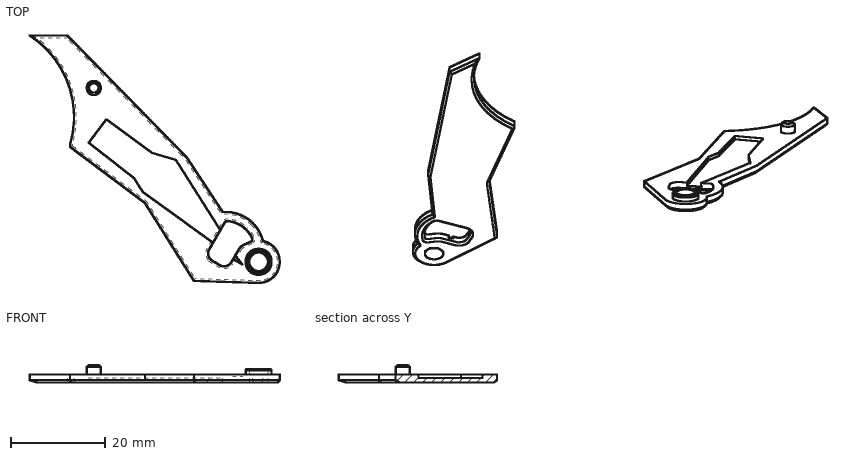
import cadquery as cq
import math


PLATE_THICKNESS = 1.75
PIN_TOP = 3.75
COLLAR_TOP = 2.9
UNDERSIDE_CHAMFER = 0.5

TAIL_RADIUS = 4.5
BLADE_TIP = (-48.46, 47.92)
BLADE_BACK = (-40.49, BLADE_TIP[1])
BACK_BEND = (-15.16, 22.06)
GUARD_START = (-7.61, 10.58)
GUARD_CENTRE = (-7.03, 2.36)
GUARD_OUTER_RADIUS = math.dist(GUARD_START, GUARD_CENTRE)
HEEL = (-13.7, -4.07)
BELLY_BEND = (-24.08, 12.44)
BLADE_CORNER = (-40.06, 24.41)
EDGE_ARC_CENTRE_Y = 30.66
BLADE_CORNER_RADIUS = 0.6

GUARD_WIDTH = 2.0
WINDOW_ANGLE = 60.0
WINDOW_FRONT_OFFSET = -10.35
WINDOW_REAR_OFFSET = -4.95
WINDOW_BOTTOM = -4.7
WINDOW_REAR_BEND = 0.92
WINDOW_SHOULDER_SLOPE = 25.0
WINDOW_BOTTOM_RADIUS = 1.8
WINDOW_BEND_RADIUS = 2.3
WINDOW_TOP_RADIUS = 0.55

POCKET_DEPTH = 0.75
POCKET_OUTLINE = [
    (-32.23, 30.16),
    (-22.56, 23.06),
    (-17.51, 21.56),
    (-8.2, 6.86),
    (-7.46, 5.46),
    (-8.96, 3.56),
    (-9.71, 4.09),
    (-24.51, 14.77),
    (-26.36, 17.71),
    (-35.96, 25.2),
]

NOTCH_DEPTH = 0.5
NOTCH_OUTLINE = [(-5.06, 1.46), (-3.41, -0.59), (-5.56, 0.66)]

PIN_CENTRE = (-34.89, 36.8)
PIN_DIAMETER = 3.0
PIN_CHAMFER = 0.5
COLLAR_DIAMETER = 5.54
COLLAR_CHAMFER = 0.3
PIVOT_HOLE_DIAMETER = 3.94


def point_on_circle(centre, radius, angle):
    return (centre[0] + radius * math.cos(angle), centre[1] + radius * math.sin(angle))


def angle_from(centre, point):
    return math.atan2(point[1] - centre[1], point[0] - centre[0])


def circle_meeting(centre_a, radius_a, centre_b, radius_b):
    """Crossing of two circles that lies to the left when going from centre a to centre b."""
    distance = math.dist(centre_a, centre_b)
    along = (radius_a**2 - radius_b**2 + distance**2) / (2 * distance)
    turn = math.acos(along / radius_a)
    return point_on_circle(centre_a, radius_a, angle_from(centre_a, centre_b) + turn)


def arc_middle(centre, start, end):
    """Point halfway along the shorter arc from start to end."""
    half_way = ((start[0] + end[0]) / 2, (start[1] + end[1]) / 2)
    return point_on_circle(centre, math.dist(centre, start), angle_from(centre, half_way))


def edge_arc_centre():
    """Centre of the concave cutting edge, equally far from both ends of the edge."""
    (x1, y1), (x2, y2) = BLADE_TIP, BLADE_CORNER
    y_term = (y1 - EDGE_ARC_CENTRE_Y) ** 2 - (y2 - EDGE_ARC_CENTRE_Y) ** 2
    return ((x1 + x2) / 2 + y_term / (2 * (x1 - x2)), EDGE_ARC_CENTRE_Y)


def fillet_upright_edge(body, corner, radius):
    nearest = cq.selectors.NearestToPointSelector((*corner, PLATE_THICKNESS / 2))
    return body.edges("|Z").edges(nearest).fillet(radius)


def make_plate():
    tail_centre = (0, 0)
    guard_end = circle_meeting(GUARD_CENTRE, GUARD_OUTER_RADIUS, tail_centre, TAIL_RADIUS)
    heel_angle = angle_from(tail_centre, HEEL)
    tangent_turn = math.acos(TAIL_RADIUS / math.dist(tail_centre, HEEL))
    tail_end = point_on_circle(tail_centre, TAIL_RADIUS, heel_angle + tangent_turn)
    tail_middle = point_on_circle(tail_centre, TAIL_RADIUS, 0)
    plate = (
        cq.Workplane("XY")
        .moveTo(*BLADE_TIP)
        .lineTo(*BLADE_BACK)
        .lineTo(*BACK_BEND)
        .lineTo(*GUARD_START)
        .threePointArc(arc_middle(GUARD_CENTRE, GUARD_START, guard_end), guard_end)
        .threePointArc(tail_middle, tail_end)
        .lineTo(*HEEL)
        .lineTo(*BELLY_BEND)
        .lineTo(*BLADE_CORNER)
        .threePointArc(arc_middle(edge_arc_centre(), BLADE_CORNER, BLADE_TIP), BLADE_TIP)
        .close()
        .extrude(PLATE_THICKNESS)
    )
    return fillet_upright_edge(plate, BLADE_CORNER, BLADE_CORNER_RADIUS)


def window_point(along, across):
    """Point given by distances along and across the window's slanted sides."""
    slant = math.radians(WINDOW_ANGLE)
    x = along * math.cos(slant) + across * math.sin(slant)
    y = along * math.sin(slant) - across * math.cos(slant)
    return (x, y)


def line_to_circle(start, angle, centre, radius):
    """Point where a ray from inside a circle leaves it."""
    dx, dy = start[0] - centre[0], start[1] - centre[1]
    forward = dx * math.cos(angle) + dy * math.sin(angle)
    reach = -forward + math.sqrt(forward**2 - dx**2 - dy**2 + radius**2)
    return point_on_circle(start, reach, angle)


def make_window():
    inner_radius = GUARD_OUTER_RADIUS - GUARD_WIDTH
    bottom_front = window_point(WINDOW_BOTTOM, WINDOW_FRONT_OFFSET)
    bottom_rear = window_point(WINDOW_BOTTOM, WINDOW_REAR_OFFSET)
    rear_bend = window_point(WINDOW_REAR_BEND, WINDOW_REAR_OFFSET)
    front_middle = window_point(0, WINDOW_FRONT_OFFSET)
    top_front = line_to_circle(front_middle, math.radians(WINDOW_ANGLE), GUARD_CENTRE, inner_radius)
    top_rear = line_to_circle(rear_bend, math.radians(WINDOW_SHOULDER_SLOPE), GUARD_CENTRE, inner_radius)
    window = (
        cq.Workplane("XY")
        .moveTo(*bottom_front)
        .lineTo(*bottom_rear)
        .lineTo(*rear_bend)
        .lineTo(*top_rear)
        .threePointArc(arc_middle(GUARD_CENTRE, top_rear, top_front), top_front)
        .close()
        .extrude(PLATE_THICKNESS)
    )
    corner_radii = [
        (bottom_front, WINDOW_BOTTOM_RADIUS),
        (bottom_rear, WINDOW_BOTTOM_RADIUS),
        (rear_bend, WINDOW_BEND_RADIUS),
        (top_rear, WINDOW_TOP_RADIUS),
        (top_front, WINDOW_TOP_RADIUS),
    ]
    for corner, radius in corner_radii:
        window = fillet_upright_edge(window, corner, radius)
    return window


def make_top_recess(outline, depth):
    floor = cq.Workplane("XY").workplane(offset=PLATE_THICKNESS - depth)
    return floor.polyline(outline).close().extrude(depth)


def make_post(centre, diameter, top, chamfer):
    """Round post rooted at mid-thickness of the plate, with a chamfered top rim."""
    root = PLATE_THICKNESS / 2
    post = cq.Workplane("XY").workplane(offset=root).center(*centre)
    post = post.circle(diameter / 2).extrude(top - root)
    return post.faces(">Z").chamfer(chamfer)


pin = make_post(PIN_CENTRE, PIN_DIAMETER, PIN_TOP, PIN_CHAMFER)
collar = make_post((0, 0), COLLAR_DIAMETER, COLLAR_TOP, COLLAR_CHAMFER)
pivot_hole = cq.Workplane("XY").circle(PIVOT_HOLE_DIAMETER / 2).extrude(COLLAR_TOP)

plate = make_plate().cut(make_window()).faces("<Z").chamfer(UNDERSIDE_CHAMFER)

result = (
    plate
    .cut(make_top_recess(POCKET_OUTLINE, POCKET_DEPTH))
    .cut(make_top_recess(NOTCH_OUTLINE, NOTCH_DEPTH))
    .union(pin)
    .union(collar)
    .cut(pivot_hole)
)